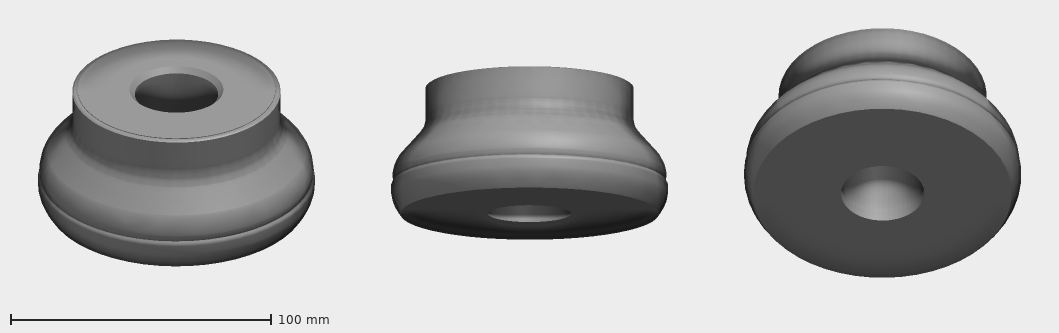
import cadquery as cq
import math

height = 49.9
rim_radius = 53.2
bore_radius = 32.0 / 2

neck_radius = 80.0 / 2
shoulder_radius = 52.6
shoulder_z = 14.9
cone_top_z = 30.9
cone_bottom_z = 22.6
cone_angle = math.radians(41.5)
joint_z = 12.6
joint_radius = 52.3

raised_radius = 76.0 / 2
raised_height = 0.3
rim_bevel_width = 0.6
rim_bevel_height = 0.4
bore_chamfer = 2.0

ring_brow = (53.0, 11.6)
ring_crest = (rim_radius, 9.6)
ring_cheek = (52.8, 6.0)
ring_flank = (51.6, 3.1)
ring_foot_radius = 49.6


def arc_point(center, radius, angle):
    """Point on a circle in the (radius, height) half-plane."""
    return (center[0] + radius * math.cos(angle), center[1] + radius * math.sin(angle))


def make_upper_body():
    """Turned body with a neck that flares through a cone into a rounded shoulder."""
    shoulder_arc = (cone_bottom_z - shoulder_z) / math.sin(cone_angle)
    shoulder_center = (shoulder_radius - shoulder_arc, shoulder_z)
    cone_bottom = arc_point(shoulder_center, shoulder_arc, cone_angle)

    cone_top_radius = cone_bottom[0] - (cone_top_z - cone_bottom_z) * math.tan(cone_angle)
    neck_arc = (cone_top_radius - neck_radius) / (1 - math.cos(cone_angle))
    neck_bottom_z = cone_top_z + neck_arc * math.sin(cone_angle)
    neck_center = (neck_radius + neck_arc, neck_bottom_z)
    neck_middle = arc_point(neck_center, neck_arc, math.pi + cone_angle / 2)

    rim_z = height - raised_height
    return (
        cq.Workplane("XZ")
        .moveTo(bore_radius, height - bore_chamfer)
        .lineTo(bore_radius + bore_chamfer, height)
        .lineTo(raised_radius, height)
        .lineTo(raised_radius, rim_z)
        .lineTo(neck_radius - rim_bevel_width, rim_z)
        .lineTo(neck_radius, rim_z - rim_bevel_height)
        .lineTo(neck_radius, neck_bottom_z)
        .threePointArc(neck_middle, (cone_top_radius, cone_top_z))
        .lineTo(*cone_bottom)
        .threePointArc(
            arc_point(shoulder_center, shoulder_arc, cone_angle / 2),
            (shoulder_radius, shoulder_z),
        )
        .tangentArcPoint((joint_radius, joint_z), relative=False)
        .lineTo(bore_radius, joint_z)
        .close()
        .revolve(360, (0, 0, 0), (0, 1, 0))
    )


def make_lower_ring():
    """Ring under the upper body, with a rounded outer side that narrows to a flat foot."""
    return (
        cq.Workplane("XZ")
        .moveTo(bore_radius, 0)
        .lineTo(bore_radius, joint_z)
        .lineTo(joint_radius, joint_z)
        .spline(
            [ring_brow, ring_crest, ring_cheek, ring_flank, (ring_foot_radius, 0)],
            tangents=[None, None, (0, -1), None, None, None],
            includeCurrent=True,
        )
        .close()
        .revolve(360, (0, 0, 0), (0, 1, 0))
    )


upper_body = make_upper_body()
lower_ring = make_lower_ring()

result = cq.Compound.makeCompound([upper_body.val(), lower_ring.val()])